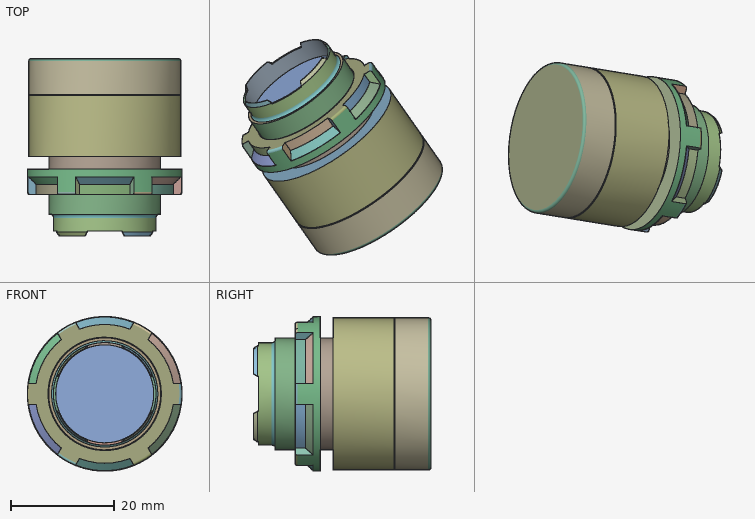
import cadquery as cq
import math

TOTAL_LENGTH = 34.4

BODY_RADIUS = 29.5 / 2
BODY_FRONT = 15.4
BODY_BACK_FILLET = 0.5
SEAM_POSITION = 27.3
SEAM_WIDTH = 0.17
SEAM_DEPTH = 0.1

NECK_RADIUS = 21.7 / 2
NECK_FRONT = 4.2

COLLAR_RADIUS = 19.9 / 2
COLLAR_BORE_RADIUS = 19.0 / 2
COLLAR_FLARE_RADIUS = 20.6 / 2
COLLAR_FLARE_START = 3.5
BORE_DEPTH = 4.05

NOTCH_DEPTH = 0.95
NOTCH_HALF_WIDTH = 3.37
NOTCH_MOUTH_HALF_WIDTH = 3.82
RIM_CHAMFER_LENGTH = 0.8
RIM_CHAMFER_DEPTH = 0.35

NUT_RADIUS = 15.0
NUT_BACK = 12.97
NUT_FRONT = 8.05
NUT_BORE_CHAMFER = 0.15
TOOTH_COUNT = 6
TOOTH_WIDTH = 4.05
TOOTH_FILLET = 0.48
RECESS_FLOOR_RADIUS = 13.45
RECESS_RAMP_START = 10.05
RECESS_END = 11.5

CLEARANCE = 0.35


def revolve_about_y(profile):
    return profile.close().revolve(360, (0, 0, 0), (0, 1, 0))


def ring(inner_radius, outer_radius, start, end):
    outline = (
        cq.Workplane("XY")
        .moveTo(inner_radius, start)
        .lineTo(outer_radius, start)
        .lineTo(outer_radius, end)
        .lineTo(inner_radius, end)
    )
    return revolve_about_y(outline)


def make_body():
    body = ring(0, BODY_RADIUS, BODY_FRONT, TOTAL_LENGTH)
    body = body.faces(">Y").edges().fillet(BODY_BACK_FILLET)
    seam = ring(
        BODY_RADIUS - SEAM_DEPTH,
        BODY_RADIUS + CLEARANCE,
        SEAM_POSITION - SEAM_WIDTH / 2,
        SEAM_POSITION + SEAM_WIDTH / 2,
    )
    return body.cut(seam)


def make_collar_and_neck():
    flare_height = COLLAR_FLARE_RADIUS - COLLAR_RADIUS
    flare_length = NECK_FRONT - COLLAR_FLARE_START
    flare_arc_radius = (flare_height**2 + flare_length**2) / (2 * flare_height)
    flare_mid_angle = math.asin(flare_length / flare_arc_radius) / 2
    flare_mid = (
        COLLAR_RADIUS + flare_arc_radius * (1 - math.cos(flare_mid_angle)),
        COLLAR_FLARE_START + flare_arc_radius * math.sin(flare_mid_angle),
    )
    outline = (
        cq.Workplane("XY")
        .moveTo(0, BORE_DEPTH)
        .lineTo(COLLAR_BORE_RADIUS, BORE_DEPTH)
        .lineTo(COLLAR_BORE_RADIUS, 0)
        .lineTo(COLLAR_RADIUS - RIM_CHAMFER_DEPTH, 0)
        .lineTo(COLLAR_RADIUS, RIM_CHAMFER_LENGTH)
        .lineTo(COLLAR_RADIUS, COLLAR_FLARE_START)
        .threePointArc(flare_mid, (COLLAR_FLARE_RADIUS, NECK_FRONT))
        .lineTo(NECK_RADIUS, NECK_FRONT)
        .lineTo(NECK_RADIUS, BODY_FRONT)
        .lineTo(0, BODY_FRONT)
    )
    return revolve_about_y(outline)


def make_rim_notches():
    notch = (
        cq.Workplane("XY")
        .moveTo(-NOTCH_MOUTH_HALF_WIDTH, 0)
        .lineTo(NOTCH_MOUTH_HALF_WIDTH, 0)
        .lineTo(NOTCH_HALF_WIDTH, RIM_CHAMFER_LENGTH)
        .lineTo(NOTCH_HALF_WIDTH, NOTCH_DEPTH)
        .lineTo(-NOTCH_HALF_WIDTH, NOTCH_DEPTH)
        .lineTo(-NOTCH_HALF_WIDTH, RIM_CHAMFER_LENGTH)
        .close()
        .extrude(COLLAR_RADIUS + CLEARANCE, both=True)
    )
    return notch.union(notch.rotate((0, 0, 0), (0, 1, 0), 90))


def make_tooth_spokes():
    length = 2 * (NUT_RADIUS + 2 * CLEARANCE)
    height = RECESS_END - NUT_FRONT + 2 * CLEARANCE
    bar = cq.Workplane("XY").box(length, height, TOOTH_WIDTH)
    bar = bar.translate((0, (RECESS_END + NUT_FRONT) / 2, 0))
    spokes = bar
    for index in range(1, TOOTH_COUNT // 2):
        spokes = spokes.union(bar.rotate((0, 0, 0), (0, 1, 0), index * 360 / TOOTH_COUNT))
    return spokes


def make_nut():
    fillet_mid_offset = TOOTH_FILLET * (1 - math.sqrt(0.5))
    outline = (
        cq.Workplane("XY")
        .moveTo(NECK_RADIUS - CLEARANCE, NUT_BACK)
        .lineTo(NUT_RADIUS, NUT_BACK)
        .lineTo(NUT_RADIUS, NUT_FRONT + TOOTH_FILLET)
        .threePointArc(
            (NUT_RADIUS - fillet_mid_offset, NUT_FRONT + fillet_mid_offset),
            (NUT_RADIUS - TOOTH_FILLET, NUT_FRONT),
        )
        .lineTo(NECK_RADIUS + NUT_BORE_CHAMFER, NUT_FRONT)
        .lineTo(NECK_RADIUS, NUT_FRONT + NUT_BORE_CHAMFER)
        .lineTo(NECK_RADIUS - CLEARANCE, NUT_FRONT + NUT_BORE_CHAMFER)
    )
    ramp_top_radius = RECESS_FLOOR_RADIUS + RECESS_END - RECESS_RAMP_START
    recess_outline = (
        cq.Workplane("XY")
        .moveTo(RECESS_FLOOR_RADIUS, NUT_FRONT - CLEARANCE)
        .lineTo(RECESS_FLOOR_RADIUS, RECESS_RAMP_START)
        .lineTo(ramp_top_radius, RECESS_END)
        .lineTo(NUT_RADIUS + CLEARANCE, RECESS_END)
        .lineTo(NUT_RADIUS + CLEARANCE, NUT_FRONT - CLEARANCE)
    )
    recesses = revolve_about_y(recess_outline).cut(make_tooth_spokes())
    return revolve_about_y(outline).cut(recesses)


housing = make_body().union(make_collar_and_neck()).cut(make_rim_notches())
result = housing.union(make_nut())